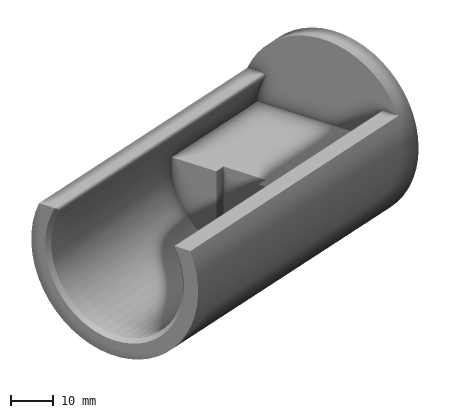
import cadquery as cq

length = 90.0
outer_diameter = 47.5
bore_diameter = 37.5
end_wall = 5.0
rim_height = 10.0
rim_fillet = 0.8
mouth_chamfer = 1.0
block_length = 40.0
block_height = 2.0
slot_width = 12.0
slot_depth = 3.0

outer_radius = outer_diameter / 2
bore_radius = bore_diameter / 2
open_end = -length / 2
closed_end = length / 2
wall_face = closed_end - end_wall
block_face = closed_end - block_length


def cylinder(radius, start, end):
    """Cylinder on the tube axis between two Y positions."""
    return cq.Workplane("XZ", origin=(0, start, 0)).circle(radius).extrude(start - end)


def box_below(width, start, end, top):
    """Box centred on X between two Y positions, reaching from `top` to below the tube."""
    height = top + outer_radius
    return (
        cq.Workplane("XY", origin=(0, start, -outer_radius))
        .box(width, end - start, height, centered=(True, False, False))
    )


def trough():
    """Open-topped tube with rounded inner rim edges."""
    tube = cylinder(outer_radius, open_end, wall_face).cut(cylinder(bore_radius, open_end, wall_face))
    lower_part = tube.intersect(box_below(outer_diameter, open_end, wall_face, rim_height))
    inner_rims = cq.selectors.BoxSelector(
        (-bore_radius, open_end, rim_height - rim_fillet),
        (bore_radius, wall_face, rim_height + rim_fillet),
    )
    return lower_part.edges("|Y").edges(inner_rims).fillet(rim_fillet)


def mouth_cone():
    """Conical cutter that chamfers the bore at the open end."""
    return (
        cq.Workplane("XY")
        .moveTo(0, open_end)
        .lineTo(bore_radius + mouth_chamfer, open_end)
        .lineTo(bore_radius, open_end + mouth_chamfer)
        .lineTo(0, open_end + mouth_chamfer)
        .close()
        .revolve(360, (0, 0, 0), (0, 1, 0))
    )


def stop_block():
    """Flat-topped block filling the closed end of the bore, with a vertical slot in its face."""
    block = cylinder(bore_radius, block_face, wall_face).intersect(
        box_below(bore_diameter, block_face, wall_face, block_height)
    )
    slot = box_below(slot_width, block_face, block_face + slot_depth, block_height)
    return block.cut(slot)


end_disc = cylinder(outer_radius, wall_face, closed_end)
result = trough().cut(mouth_cone()).union(stop_block()).union(end_disc)